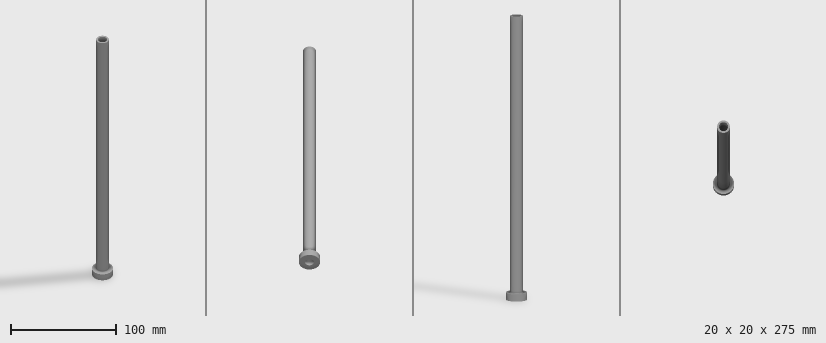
import cadquery as cq

length = 275.0
head_diameter = 20.0
head_height = 7.0
shaft_diameter = 12.0
bore_diameter = 8.5
neck_fillet = 0.8

bottom_z = -length / 2
head_top_z = bottom_z + head_height


def cylinder(diameter, start_z, height):
    """Upright cylinder on the Z axis."""
    return cq.Workplane("XY").workplane(offset=start_z).circle(diameter / 2).extrude(height)


def headed_shaft():
    """Solid shaft on its head, with a fillet where the two meet."""
    head = cylinder(head_diameter, bottom_z, head_height)
    shaft = cylinder(shaft_diameter, bottom_z, length)
    neck_box = cq.selectors.BoxSelector(
        (-shaft_diameter, -shaft_diameter, head_top_z - neck_fillet),
        (shaft_diameter, shaft_diameter, head_top_z + neck_fillet),
    )
    neck_edge = cq.selectors.RadiusNthSelector(0)
    return head.union(shaft).edges(neck_box).edges(neck_edge).fillet(neck_fillet)


bore = cylinder(bore_diameter, bottom_z, length)
result = headed_shaft().cut(bore)